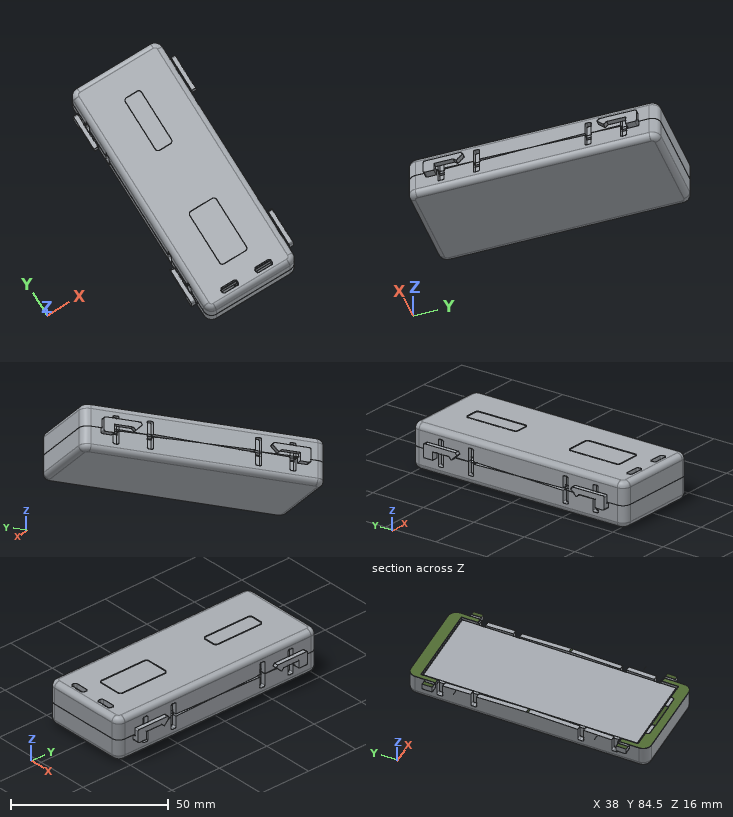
import cadquery as cq
import math

length = 84.5
body_width = 33.3
overall_width = 38.0
height = 16.0
corner_radius = 2.95
rim_radius = 2.0
side_wall = 1.8
roof = 2.0

core_length = 76.05
core_width = body_width - 2 * side_wall
core_gap = 0.85
core_chamfer = 0.5
core_top = height / 2 - roof

window_width = 2.0
window_half_height = 4.7
window_radius = 0.5
outer_window_y = 30.7
inner_window_y = 18.8
tab_half_gap = 0.3

clip_thickness = 1.6
leg_outer_y = 35.8
leg_inner_y = 32.2
leg_bottom = -1.95
arm_top = 2.95
arm_bottom = 0.9
clip_radius = 0.5
nose_y, nose_z = 22.6, 2.1
nose_top_y = 23.15
barb_y, barb_z = 24.8, 0.0
barb_root_y = 25.8

label_length = 20.0
label_center_y = 21.0
number_label_width = 6.0
logo_label_width = 10.0
label_radius = 1.0
label_depth = 0.25

latch_slot_length = 5.9
latch_slot_outer_y = -39.3
latch_slot_inner_y = -37.3
latch_slot_center_x = 6.3
latch_slot_radius = 0.72
tongue_top_width = 7.9
tongue_height = 4.1
tongue_draft = 14.0


def shell_blank():
    """Upper half of the rounded housing, hollowed for one core."""
    outer = (
        cq.Workplane("XY")
        .rect(body_width, length)
        .extrude(height / 2)
        .edges("|Z").fillet(corner_radius)
        .faces(">Z").edges().fillet(rim_radius)
    )
    cavity = cq.Workplane("XY").rect(core_width, core_length).extrude(core_top)
    return outer.cut(cavity)


def tapered_gap(start_y, end_y, end_half_gap):
    """Wedge between the shells, widening evenly from nothing at start_y to its full gap at end_y."""
    return (
        cq.Workplane("YZ")
        .polyline([(start_y, 0), (end_y, end_half_gap), (end_y, -end_half_gap)])
        .close()
        .extrude(body_width / 2, both=True)
    )


def window(y):
    """Upright rounded window through both side walls."""
    return (
        cq.Workplane("XY", origin=(0, y, 0))
        .box(body_width, window_width, 2 * window_half_height)
        .edges("|X").fillet(window_radius)
    )


def side_openings():
    """Windows and tapered cable gaps, all through both side walls."""
    cutters = []
    for end in (-1, 1):
        cutters += [
            window(end * inner_window_y),
            window(end * outer_window_y),
            tapered_gap(0, end * inner_window_y, core_gap / 2),
            tapered_gap(end * inner_window_y, end * leg_inner_y, tab_half_gap),
        ]
    return cutters


def cut_all(solid, cutters):
    for cutter in cutters:
        solid = solid.cut(cutter)
    return solid


def clip():
    """Hooked arm at the +X side and +Y end, with the bridge to the side wall."""
    arm = (
        cq.Workplane("YZ")
        .moveTo(leg_outer_y, leg_bottom)
        .lineTo(leg_outer_y, arm_top)
        .lineTo(nose_top_y, arm_top)
        .lineTo(nose_y, nose_z)
        .lineTo(barb_y, barb_z)
        .lineTo(barb_root_y, arm_bottom)
        .lineTo(leg_inner_y, arm_bottom)
        .lineTo(leg_inner_y, leg_bottom)
        .close()
        .extrude(overall_width / 2 - body_width / 2)
        .translate((body_width / 2, 0, 0))
        .edges("|X").edges(">Y").fillet(clip_radius)
    )
    clearance_width = overall_width / 2 - clip_thickness - body_width / 2
    wall_clearance = (
        cq.Workplane("XY")
        .box(clearance_width, leg_outer_y - nose_y, arm_top, centered=False)
        .translate((body_width / 2, nose_y, 0))
    )
    return arm.cut(wall_clearance)


def tongue():
    """Tapered latch tongue standing on the lower shell's end wall."""
    half_top = tongue_top_width / 2
    half_base = half_top + tongue_height * math.tan(math.radians(tongue_draft))
    return (
        cq.Workplane("XZ", origin=(0, -core_length / 2, 0))
        .polyline([(-half_base, 0), (half_base, 0), (half_top, tongue_height), (-half_top, tongue_height)])
        .close()
        .extrude(-core_length / 2 - latch_slot_outer_y)
    )


def latch_slots():
    """Two rounded slots through the upper shell, over the tongue's flanks."""
    return (
        cq.Workplane("XY")
        .pushPoints([(side * latch_slot_center_x, 0) for side in (-1, 1)])
        .rect(latch_slot_length, latch_slot_inner_y - latch_slot_outer_y)
        .extrude(height / 2)
        .edges("|Z").fillet(latch_slot_radius)
        .translate((0, (latch_slot_inner_y + latch_slot_outer_y) / 2, 0))
    )


def label_recess(width, center_y):
    return (
        cq.Workplane("XY", origin=(0, center_y, height / 2 - label_depth))
        .rect(width, label_length)
        .extrude(label_depth)
        .edges("|Z").fillet(label_radius)
    )


def make_upper_shell():
    return (
        cut_all(shell_blank(), side_openings())
        .cut(latch_slots())
        .cut(tongue())
        .cut(label_recess(number_label_width, label_center_y))
        .cut(label_recess(logo_label_width, -label_center_y))
    )


def make_lower_shell():
    shell = cut_all(shell_blank().mirror("XY"), side_openings()).union(tongue())
    right_clips = clip().union(clip().mirror("XZ"))
    return shell.union(right_clips).union(right_clips.mirror("YZ"))


def make_core():
    """Upper core plate with all edges chamfered."""
    return (
        cq.Workplane("XY", origin=(0, 0, core_gap / 2))
        .rect(core_width, core_length)
        .extrude(core_top - core_gap / 2)
        .edges().chamfer(core_chamfer)
    )


upper_shell = make_upper_shell()
lower_shell = make_lower_shell()
upper_core = make_core()
lower_core = upper_core.mirror("XY")
shells_and_cores = [upper_shell, lower_shell, upper_core, lower_core]

result = cq.Compound.makeCompound([body.solids().val() for body in shells_and_cores])